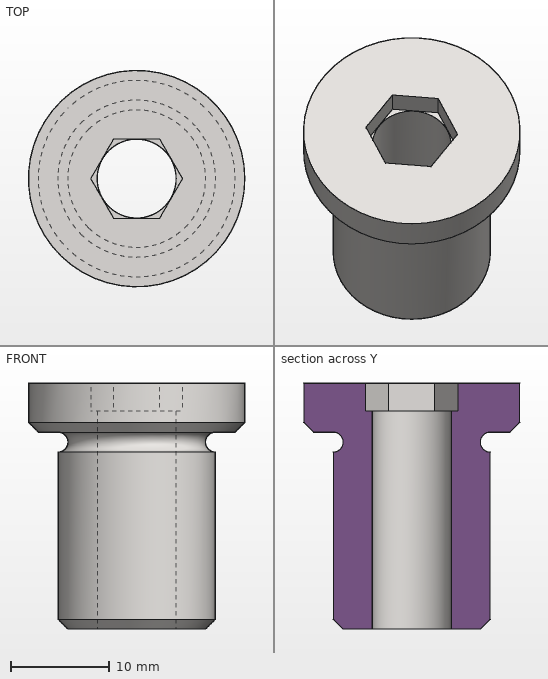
import cadquery as cq
import math

total_height = 25
head_diameter = 22
head_height = 5
shank_diameter = 16
edge_chamfer = 1

groove_radius = 1

bore_diameter = 8
socket_across_flats = 8.08
socket_depth = 2.82

head_radius = head_diameter / 2
shank_radius = shank_diameter / 2
head_bottom = total_height - head_height
groove_middle = head_bottom - groove_radius
groove_bottom = head_bottom - 2 * groove_radius


def turned_body():
    """Head, grooved shank and chamfers, revolved about Z."""
    return (
        cq.Workplane("XZ")
        .moveTo(0, 0)
        .lineTo(shank_radius - edge_chamfer, 0)
        .lineTo(shank_radius, edge_chamfer)
        .lineTo(shank_radius, groove_bottom)
        .threePointArc((shank_radius - groove_radius, groove_middle), (shank_radius, head_bottom))
        .lineTo(head_radius - edge_chamfer, head_bottom)
        .lineTo(head_radius, head_bottom + edge_chamfer)
        .lineTo(head_radius, total_height)
        .lineTo(0, total_height)
        .close()
        .revolve(360, (0, 0, 0), (0, 1, 0))
    )


def through_bore():
    return cq.Workplane("XY").circle(bore_diameter / 2).extrude(total_height)


def hex_socket():
    """Hexagon sunk from the top, with two corners on the X axis."""
    across_corners = socket_across_flats / math.cos(math.pi / 6)
    return (
        cq.Workplane("XY", origin=(0, 0, total_height))
        .polygon(6, across_corners)
        .extrude(-socket_depth)
    )


result = turned_body().cut(through_bore()).cut(hex_socket())